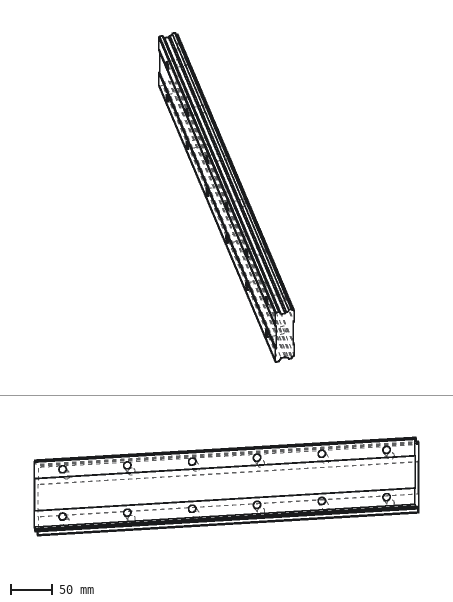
import cadquery as cq
import math

length = 470.0
thickness = 24.0
height = 90.0

relief_depth = 1.0
relief_height = 41.0

hole_diameter = 9.0
hole_pitch = 80.0
hole_columns = 6
hole_row_spacing = 60.0

ledge_width = 2.7
ledge_depth = 2.4
ledge_slope = math.radians(27)
rib_chamfer = 1.0
rib_end_offset = 7.0
seat_radius = 2.5
seat_depth = 3.3
seat_end_offset = 9.9
floor_start_offset = 11.7
groove_depth = 5.0
groove_end_offset = 19.5
groove_wall_angle = math.radians(60)

half_height = height / 2
half_thickness = thickness / 2


def half_bar(side):
    """Half of the section, extruded along X; side is +1 for the upper half and -1 for the lower."""

    def at(offset, depth):
        return (half_thickness - offset, side * (half_height - depth))

    seat_center_offset = rib_end_offset + seat_radius
    seat_center_depth = seat_depth - seat_radius
    seat_diagonal = seat_radius * math.sqrt(0.5)
    groove_wall_run = groove_depth / math.tan(groove_wall_angle)

    section = (
        cq.Workplane("YZ")
        .moveTo(*at(0, half_height))
        .lineTo(*at(0, ledge_depth + ledge_width * math.tan(ledge_slope)))
        .lineTo(*at(ledge_width, ledge_depth))
        .lineTo(*at(ledge_width, rib_chamfer))
        .lineTo(*at(ledge_width + rib_chamfer, 0))
        .lineTo(*at(rib_end_offset, 0))
        .lineTo(*at(rib_end_offset, seat_center_depth))
        .threePointArc(
            at(seat_center_offset - seat_diagonal, seat_center_depth + seat_diagonal),
            at(seat_center_offset, seat_depth),
        )
        .lineTo(*at(seat_end_offset, seat_depth))
        .lineTo(*at(floor_start_offset, groove_depth))
        .lineTo(*at(groove_end_offset - groove_wall_run, groove_depth))
        .lineTo(*at(groove_end_offset, 0))
        .lineTo(*at(thickness - rib_chamfer, 0))
        .lineTo(*at(thickness, rib_chamfer))
        .lineTo(*at(thickness, half_height))
        .close()
    )
    return section.extrude(length / 2, both=True)


def cut_reliefs(body):
    for face_y in (half_thickness, -half_thickness):
        relief = cq.Workplane("XY").box(length, 2 * relief_depth, relief_height)
        body = body.cut(relief.translate((0, face_y, 0)))
    return body


def cut_holes(body):
    holes = (
        cq.Workplane("XZ")
        .rarray(hole_pitch, hole_row_spacing, hole_columns, 2)
        .circle(hole_diameter / 2)
        .extrude(thickness, both=True)
    )
    return body.cut(holes)


bar = half_bar(1).union(half_bar(-1)).clean()
result = cut_holes(cut_reliefs(bar))